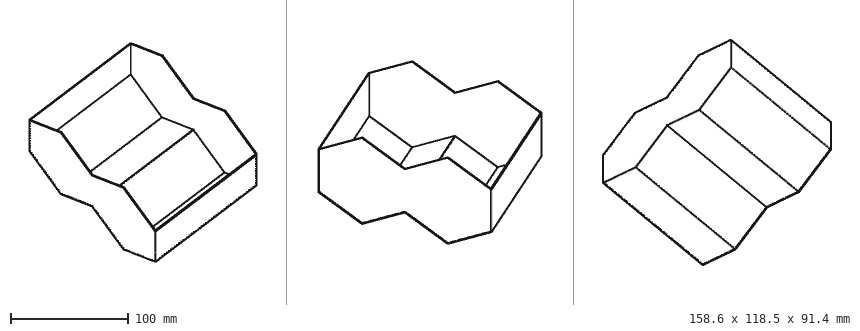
import cadquery as cq
import math

length_x = 158.6
depth_y = 118.5
wall = 1.0

edge_angle = math.radians(30)
slope = math.tan(edge_angle)
pitch = length_x / 2 - wall
half_cell = pitch / 2
rise = half_cell * slope
inner_depth = depth_y - 2 * wall

shoulder_z = rise
peak_z = 2 * rise
hip_z = -shoulder_z
foot_z = -peak_z


def twin_cell_prism(offset, depth):
    """Twin-hexagon prism, sides and floor moved outward; the roof planes stay put."""
    drop = offset / math.cos(edge_angle)
    half_width = pitch + offset
    eave_z = shoulder_z - offset * slope
    corner_z = hip_z - drop + offset * slope
    points = [
        (-half_width, eave_z),
        (-half_cell, peak_z),
        (0, shoulder_z),
        (half_cell, peak_z),
        (half_width, eave_z),
        (half_width, corner_z),
        (half_cell, foot_z - drop),
        (0, hip_z - drop),
        (-half_cell, foot_z - drop),
        (-half_width, corner_z),
    ]
    return cq.Workplane("XZ").polyline(points).close().extrude(depth / 2, both=True)


def round_outside(body):
    """Round the outside corners, leaving the roof edges and the floor's inner ridge sharp."""
    near_axis = half_cell / 2
    edges = []
    for edge in body.edges().vals():
        middle = edge.Center()
        along_y = abs(middle.y) < wall
        is_ridge = along_y and abs(middle.x) < near_axis
        if middle.z < wall and not is_ridge:
            edges.append(edge)
    return body.newObject(edges).fillet(wall)


body = round_outside(twin_cell_prism(wall, depth_y))
cavity = twin_cell_prism(0, inner_depth)
result = body.cut(cavity)